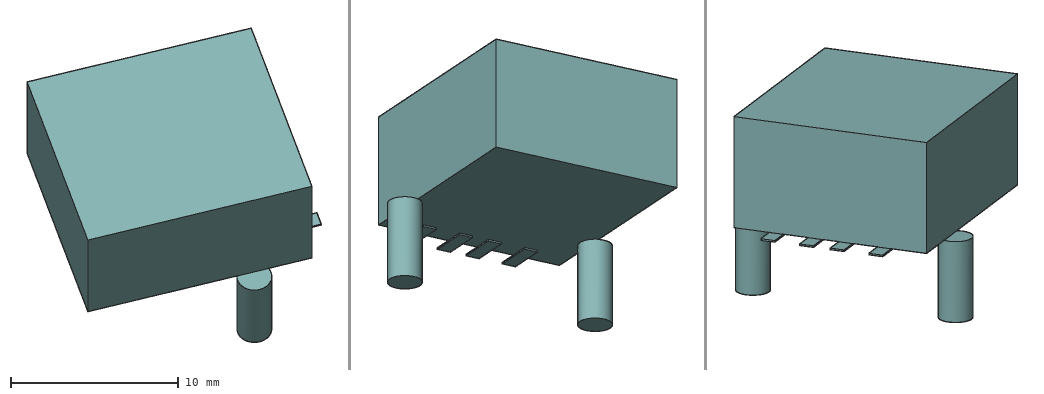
import cadquery as cq

total_width = 15.23
total_depth = 15.28
total_height = 12.1

housing_width = 12.5
housing_depth = 14.0
housing_height = 7.0

peg_diameter = 2.1
peg_length = total_height - housing_height
peg_x = (total_width - peg_diameter) / 2
peg_setback = 3.7
peg_y = housing_depth - peg_setback

contact_width = 0.9
contact_length = 2.66
contact_thickness = 0.1
inner_contact_x = 1.0
outer_contact_x = 3.5


def make_housing():
    """Plain rectangular block, centred across X."""
    return cq.Workplane("XY").box(
        housing_width, housing_depth, housing_height, centered=(True, False, False)
    )


def make_peg(x):
    """Round peg hanging down from the plane of the housing's underside."""
    return cq.Workplane("XY").center(x, peg_y).circle(peg_diameter / 2).extrude(-peg_length)


def make_contact(x):
    """Thin strip directly under the housing, ending at the rear extent of the part."""
    contact_y = total_depth - contact_length / 2
    return (
        cq.Workplane("XY")
        .center(x, contact_y)
        .rect(contact_width, contact_length)
        .extrude(-contact_thickness)
    )


housing = make_housing()
pegs = [make_peg(x) for x in (-peg_x, peg_x)]
contact_positions = (-outer_contact_x, -inner_contact_x, inner_contact_x, outer_contact_x)
contacts = [make_contact(x) for x in contact_positions]

result = cq.Compound.makeCompound(
    [
        housing.val(),
        *[peg.val() for peg in pegs],
        *[contact.val() for contact in contacts],
    ]
)